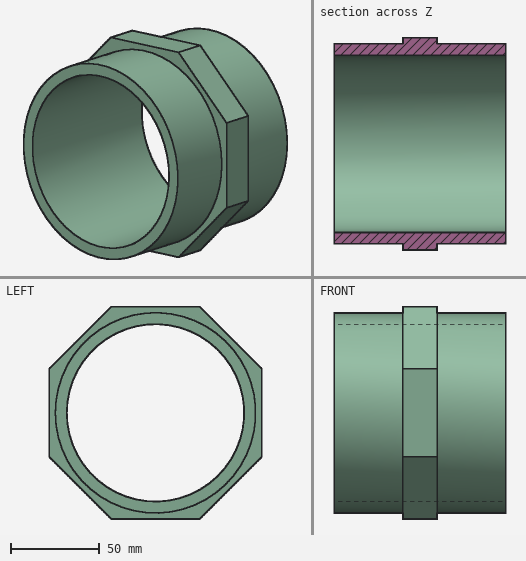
import cadquery as cq
import math

length = 97.0
outer_diameter = 113.0
bore_diameter = 100.0
across_flats = 120.0
collar_width = 19.2
collar_sides = 8

sleeve = cq.Workplane("YZ").circle(outer_diameter / 2).extrude(length / 2, both=True)

half_side_angle = 180 / collar_sides
across_corners = across_flats / math.cos(math.radians(half_side_angle))
collar = (
    cq.Workplane("YZ")
    .polygon(collar_sides, across_corners)
    .extrude(collar_width / 2, both=True)
    .rotate((0, 0, 0), (1, 0, 0), half_side_angle)
)

bore = cq.Workplane("YZ").circle(bore_diameter / 2).extrude(length / 2, both=True)

result = sleeve.union(collar).cut(bore)